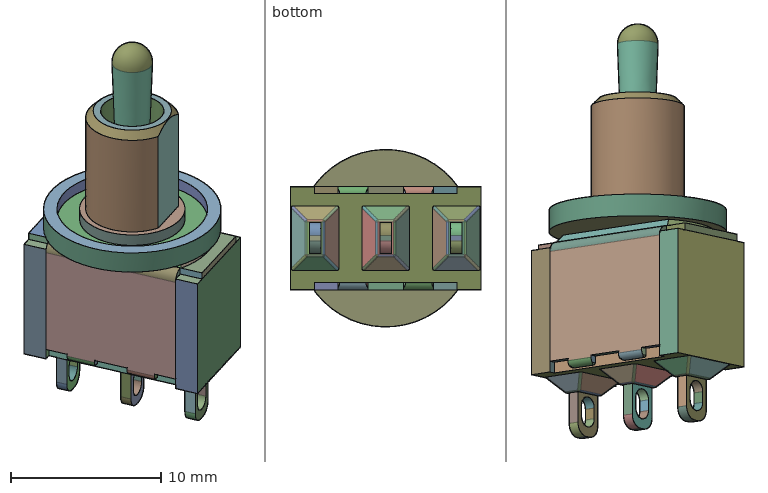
import cadquery as cq


case_length = 12.7
case_width = 6.86
case_height = 8.88
end_block_length = 1.6
frame_length = case_length - 2 * end_block_length
sheet_thickness = 0.47
shoulder_height = case_height - sheet_thickness
core_width = case_width - 2 * sheet_thickness
ear_width = 5.4
frame_roll_radius = 0.73
frame_edge_height = 0.73

tab_width = 2.0
tab_offset = 2.19
tab_height = 0.6
tab_bend_radius = 0.45
tab_corner_chamfer = 0.12

terminal_pitch = 4.7
terminal_drop = 3.95
terminal_thickness = 0.77
terminal_width = 2.06
terminal_tip_radius = 0.85
eyelet_width = 1.3
eyelet_length = 2.02
eyelet_tip_margin = 0.67
mound_length = 3.16
mound_width = 4.3
mound_height = 1.04
mound_taper = 43
mound_rounding = 0.2

pedestal_diameter = 11.05
pedestal_height = 0.52
pedestal_taper = 40
flange_diameter = 11.81
flange_thickness = 1.47
groove_outer_diameter = 10.01
groove_inner_diameter = 7.01
groove_depth = 0.8
bushing_diameter = 6.2
bushing_height = 7.52
bushing_chamfer = 0.5
bushing_flat_offset = 2.645
bore_diameter = 4.2

flange_bottom = case_height + pedestal_height
flange_top = flange_bottom + flange_thickness

ball_radius = bore_diameter / 2
pivot_height = flange_top
overall_height = 27.4
lever_top = overall_height - terminal_drop
lever_tip_radius = 1.36
lever_neck_radius = 0.95
lever_dome_base = lever_top - lever_tip_radius


def make_core():
    """Middle of the case, which fills the inside of the folded frame."""
    return (
        cq.Workplane("XY")
        .box(frame_length, core_width, shoulder_height, centered=(True, True, False))
        .edges("|X and >Z")
        .fillet(frame_roll_radius - sheet_thickness)
    )


def make_folded_frame():
    """Sheet folded down over the long sides of the case, with an ear at each end."""
    shell = (
        cq.Workplane("XY", origin=(0, 0, frame_edge_height))
        .box(frame_length, case_width, case_height - frame_edge_height, centered=(True, True, False))
        .edges("|X and >Z")
        .fillet(frame_roll_radius)
    )
    ears = cq.Workplane("XY", origin=(0, 0, shoulder_height)).box(
        case_length, ear_width, sheet_thickness, centered=(True, True, False)
    )
    return shell.cut(make_core()).union(ears)


def make_tab(x, side):
    """Frame tab bent in towards the case, on the side given by the sign of Y."""
    outer_edge = ">Y" if side > 0 else "<Y"
    tab = (
        cq.Workplane("XY")
        .box(tab_width, sheet_thickness, tab_height, centered=(True, True, False))
        .edges("|Y and <Z")
        .chamfer(tab_corner_chamfer)
        .faces("<Z")
        .edges(outer_edge)
        .fillet(tab_bend_radius)
    )
    tab_y = side * (case_width - sheet_thickness) / 2
    return tab.translate((x, tab_y, frame_edge_height - tab_height))


def make_terminal(x):
    """Flat solder lug with an eyelet, and its sealing mound."""
    lug = (
        cq.Workplane("XY")
        .box(terminal_thickness, terminal_width, terminal_drop, centered=(True, True, False))
        .edges("|X and <Z")
        .fillet(terminal_tip_radius)
    )
    eyelet = (
        cq.Workplane("YZ")
        .center(0, eyelet_tip_margin + eyelet_length / 2)
        .slot2D(eyelet_length, eyelet_width, 90)
        .extrude(terminal_thickness, both=True)
    )
    mound = (
        cq.Workplane("XY", origin=(0, 0, terminal_drop))
        .rect(mound_length, mound_width)
        .extrude(-mound_height, taper=mound_taper)
        .edges("not >Z")
        .fillet(mound_rounding)
    )
    return lug.cut(eyelet).union(mound).translate((x, 0, -terminal_drop))


def make_pedestal():
    """Tapered disc, trimmed by sloping sides to the ear width, that carries the flange."""
    base = cq.Workplane("XY", origin=(0, 0, case_height))
    cone = base.circle(pedestal_diameter / 2).extrude(pedestal_height, taper=pedestal_taper)
    trim = base.rect(pedestal_diameter * 2, ear_width).extrude(pedestal_height, taper=pedestal_taper)
    return cone.intersect(trim)


def make_flange():
    """Round flange with a ring groove in its upper face."""
    groove = (
        cq.Workplane("XY", origin=(0, 0, flange_top))
        .circle(groove_outer_diameter / 2)
        .circle(groove_inner_diameter / 2)
        .extrude(-groove_depth)
    )
    disc = (
        cq.Workplane("XY", origin=(0, 0, flange_bottom))
        .circle(flange_diameter / 2)
        .extrude(flange_thickness)
    )
    return disc.cut(groove)


def make_bushing():
    """Chamfered, bored sleeve with one flat on its +X side."""
    sleeve = (
        cq.Workplane("XY", origin=(0, 0, flange_top))
        .circle(bushing_diameter / 2)
        .extrude(bushing_height)
        .faces(">Z")
        .chamfer(bushing_chamfer)
    )
    beyond_flat = cq.Workplane("XY", origin=(bushing_flat_offset, 0, flange_top)).box(
        bushing_diameter, bushing_diameter, bushing_height, centered=(False, True, False)
    )
    bore = (
        cq.Workplane("XY", origin=(0, 0, flange_top))
        .circle(bore_diameter / 2)
        .extrude(bushing_height)
    )
    return sleeve.cut(beyond_flat).cut(bore)


def make_lever():
    """Handle that widens towards its domed tip, rising from a ball in the bore."""
    handle_profile = (
        cq.Workplane("XZ")
        .moveTo(0, pivot_height)
        .hLineTo(lever_neck_radius)
        .lineTo(lever_tip_radius, lever_dome_base)
        .radiusArc((0, lever_top), -lever_tip_radius)
        .close()
    )
    handle = handle_profile.revolve(360, (0, 0, 0), (0, 1, 0))
    upper_ball = cq.Workplane("XY", origin=(0, 0, pivot_height)).sphere(ball_radius, angle1=0)
    return handle.union(upper_ball)


def make_case():
    """Core between two end blocks, with the three terminals below."""
    case = make_core()
    for side in (-1, 1):
        end_block = cq.Workplane("XY").box(
            end_block_length, case_width, shoulder_height, centered=(True, True, False)
        )
        end_x = side * (case_length - end_block_length) / 2
        case = case.union(end_block.translate((end_x, 0, 0)))
    for x in (-terminal_pitch, 0, terminal_pitch):
        case = case.union(make_terminal(x))
    return case


def make_frame():
    """Folded frame with its tabs, pedestal, flange, bushing and lever."""
    frame = make_folded_frame().union(make_pedestal()).union(make_flange())
    frame = frame.union(make_bushing()).union(make_lever())
    for x in (-tab_offset, tab_offset):
        for side in (-1, 1):
            frame = frame.union(make_tab(x, side))
    return frame


case = make_case()
frame = make_frame()

result = cq.Compound.makeCompound([case.solids().val(), frame.solids().val()])